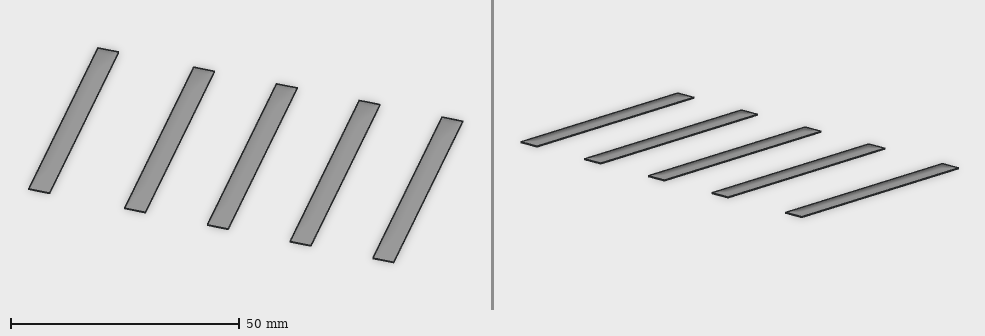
import cadquery as cq

strip_width = 4.8
strip_length = 50.55
strip_thickness = 0.24

first_pitch = 22.0
regular_pitch = 19.0
regular_count = 4

overall_width = first_pitch + (regular_count - 1) * regular_pitch + strip_width
first_center_x = (strip_width - overall_width) / 2


def make_strip(center_x):
    """Flat rectangular strip resting on Z = 0, centred on center_x and Y = 0."""
    return (
        cq.Workplane("XY")
        .center(center_x, 0)
        .box(strip_width, strip_length, strip_thickness, centered=(True, True, False))
    )


second_center_x = first_center_x + first_pitch
strip_centers = [first_center_x]
for index in range(regular_count):
    strip_centers.append(second_center_x + index * regular_pitch)

strips = [make_strip(center_x) for center_x in strip_centers]

result = cq.Compound.makeCompound([strip.val() for strip in strips])